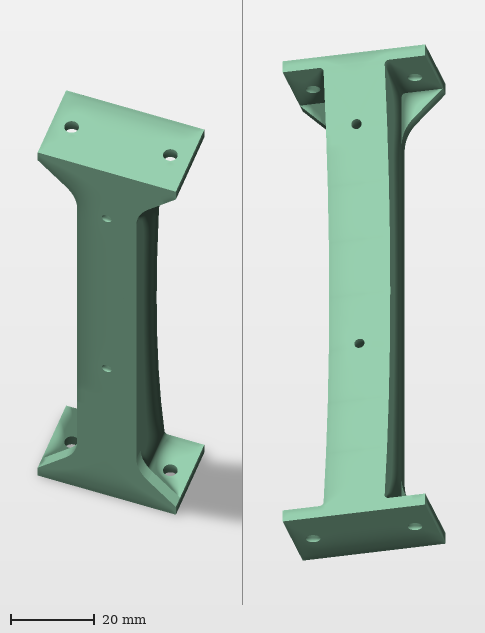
import cadquery as cq

height = 125.0
width = 35.0
depth = 20.0

flange_thickness = 3.0
plate_thickness = 3.0
web_width = 15.0
web_mid_depth = 14.2
plate_corner_radius = 10.0
web_root_radius = 1.0

flange_hole_diameter = 3.5
flange_hole_spacing = 25.0
web_hole_diameter = 2.5
upper_hole_from_top = 18.0
web_hole_spacing = 58.0

half_height = height / 2
half_width = width / 2
half_web = web_width / 2
flange_inner_z = half_height - flange_thickness


def make_flange(side):
    """End flange; side is 1 for the top and -1 for the bottom."""
    center_z = side * (half_height - flange_thickness / 2)
    return cq.Workplane("XY").box(width, depth, flange_thickness).translate((0, depth / 2, center_z))


def make_front_plate():
    """Plate on the front face that flares at 45 degrees to meet both flanges."""
    flare_start_z = flange_inner_z - (half_width - half_web)
    outline = [
        (half_web, -flare_start_z),
        (half_width, -flange_inner_z),
        (half_width, -half_height),
        (-half_width, -half_height),
        (-half_width, -flange_inner_z),
        (-half_web, -flare_start_z),
        (-half_web, flare_start_z),
        (-half_width, flange_inner_z),
        (-half_width, half_height),
        (half_width, half_height),
        (half_width, flange_inner_z),
        (half_web, flare_start_z),
    ]
    plate = cq.Workplane("XZ").polyline(outline).close().extrude(-plate_thickness)
    shank_corners = cq.selectors.BoxSelector(
        (-half_web - 1.2, -1.2, -flare_start_z - 1.2),
        (half_web + 1.2, depth, flare_start_z + 1.2),
    )
    return plate.edges("|Y").edges(shank_corners).fillet(plate_corner_radius)


def make_web(half_thickness):
    """Central web with a shallow concave arc along its back."""
    return (
        cq.Workplane("YZ")
        .moveTo(0, -flange_inner_z)
        .lineTo(depth, -flange_inner_z)
        .threePointArc((web_mid_depth, 0), (depth, flange_inner_z))
        .lineTo(0, flange_inner_z)
        .close()
        .extrude(half_thickness, both=True)
    )


def make_root_fillet(x_side, z_side):
    """Concave strip filling the corner between a web side and a flange."""
    corner_x = x_side * half_web
    corner_z = z_side * flange_inner_z
    strip_x = corner_x + x_side * web_root_radius
    strip_z = corner_z - z_side * web_root_radius
    block = (
        cq.Workplane("XZ")
        .center((corner_x + strip_x) / 2, (corner_z + strip_z) / 2)
        .rect(web_root_radius, web_root_radius)
        .extrude(-depth)
    )
    rounding = cq.Workplane("XZ").center(strip_x, strip_z).circle(web_root_radius).extrude(-depth)
    return block.cut(rounding).intersect(make_web(half_web + web_root_radius))


body = make_front_plate().union(make_web(half_web))
for z_side in (-1, 1):
    body = body.union(make_flange(z_side))
    for x_side in (-1, 1):
        body = body.union(make_root_fillet(x_side, z_side))

flange_holes = (
    cq.Workplane("XY", origin=(0, depth / 2, -half_height))
    .pushPoints([(-flange_hole_spacing / 2, 0), (flange_hole_spacing / 2, 0)])
    .circle(flange_hole_diameter / 2)
    .extrude(height)
)

upper_hole_z = half_height - upper_hole_from_top
web_holes = (
    cq.Workplane("XZ")
    .pushPoints([(0, upper_hole_z), (0, upper_hole_z - web_hole_spacing)])
    .circle(web_hole_diameter / 2)
    .extrude(-depth)
)

result = body.cut(flange_holes).cut(web_holes)